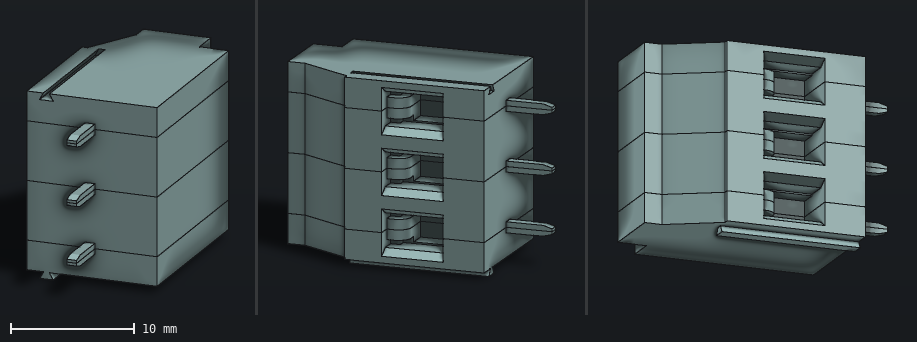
import cadquery as cq


POLE_COUNT = 3
PITCH = 5.08
STACK_HEIGHT = POLE_COUNT * PITCH
POLE_PLANES = [(i + 0.5) * PITCH for i in range(POLE_COUNT)]

DEPTH = 11.35
HEIGHT = 18.05
REAR_NOTCH_WIDTH = 2.55
REAR_NOTCH_HEIGHT = 2.49
SHOULDER_Y = 12.03
SHOULDER_WIDTH = 0.46
SLOPE_TOP_X = 2.9
SLOPE_TOP_Y = HEIGHT - 1.5

DOVETAIL_X = 1.72
DOVETAIL_HEIGHT = 0.6
DOVETAIL_NECK = 0.53
DOVETAIL_BASE = 1.19

OPENING_BOTTOM = 3.55
OPENING_HEIGHT = 5.3
OPENING_TOP = OPENING_BOTTOM + OPENING_HEIGHT
MOUTH_WIDTH = 3.95
CHAMBER_WIDTH = 2.9
BEVEL_DEPTH = 0.85
CHAMBER_DEPTH = 2.8

NOSE_WIDTH = 1.75
NOSE_FRONT = 1.19
NOSE_FLAT = 0.64
NOSE_RADIUS = 1.08
NOSE_HEIGHT = NOSE_FLAT + NOSE_RADIUS
ROUND_CENTRE_X = NOSE_FRONT + NOSE_RADIUS
LEDGE_RADIUS = 0.18

HOLE_WIDTH = 2.65
HOLE_DEPTH = 4.4

PIN_LENGTH = 3.95
PIN_LEFT = 5.08
PIN_THICKNESS = 0.85
PIN_WIDTH = 0.92
PIN_TIP_WIDTH = 0.48
PIN_TAPER_LENGTH = 0.77


def box(x_range, y_range, z_range):
    """Box spanning three (low, high) ranges."""
    lows, highs = zip(x_range, y_range, z_range)
    size = [high - low for low, high in zip(lows, highs)]
    return cq.Workplane("XY").box(*size, centered=False).translate(lows)


def slab_blank(bottom, top):
    """Plain slab with the block's stepped and sloped outline."""
    return (
        cq.Workplane("XY", origin=(0, 0, bottom))
        .moveTo(0, 0)
        .lineTo(DEPTH, 0)
        .lineTo(DEPTH, HEIGHT - REAR_NOTCH_HEIGHT)
        .lineTo(DEPTH - REAR_NOTCH_WIDTH, HEIGHT - REAR_NOTCH_HEIGHT)
        .lineTo(DEPTH - REAR_NOTCH_WIDTH, HEIGHT)
        .lineTo(SLOPE_TOP_X, HEIGHT)
        .lineTo(SLOPE_TOP_X, SLOPE_TOP_Y)
        .lineTo(SHOULDER_WIDTH, SHOULDER_Y)
        .lineTo(0, SHOULDER_Y)
        .close()
        .extrude(top - bottom)
    )


def dovetail(neck_z):
    """Rail along Y that widens downwards from its neck."""
    return (
        cq.Workplane("XZ", origin=(DOVETAIL_X, 0, neck_z))
        .moveTo(-DOVETAIL_NECK / 2, 0)
        .lineTo(DOVETAIL_NECK / 2, 0)
        .lineTo(DOVETAIL_BASE / 2, -DOVETAIL_HEIGHT)
        .lineTo(-DOVETAIL_BASE / 2, -DOVETAIL_HEIGHT)
        .close()
        .extrude(-SHOULDER_Y)
    )


def rounded_step(pole_z, radius, width):
    """Step under the chamber's +Y wall with a quarter-round front lower edge."""
    front = ROUND_CENTRE_X - radius
    round_start_y = OPENING_TOP - NOSE_FLAT
    return (
        box(
            (front, CHAMBER_DEPTH),
            (round_start_y - radius, OPENING_TOP),
            (pole_z - width / 2, pole_z + width / 2),
        )
        .edges("|Z and <X and <Y")
        .fillet(radius)
    )


def wire_opening(pole_z):
    """Space removed for one wire: bevelled mouth, chamber and wire hole."""
    mouth = (
        cq.Workplane("XZ", origin=(0, OPENING_BOTTOM, pole_z))
        .moveTo(0, -MOUTH_WIDTH / 2)
        .lineTo(BEVEL_DEPTH, -CHAMBER_WIDTH / 2)
        .lineTo(CHAMBER_DEPTH, -CHAMBER_WIDTH / 2)
        .lineTo(CHAMBER_DEPTH, CHAMBER_WIDTH / 2)
        .lineTo(BEVEL_DEPTH, CHAMBER_WIDTH / 2)
        .lineTo(0, MOUTH_WIDTH / 2)
        .close()
        .extrude(-OPENING_HEIGHT)
    )
    hole = box(
        (CHAMBER_DEPTH, HOLE_DEPTH),
        (OPENING_BOTTOM, OPENING_TOP - NOSE_HEIGHT),
        (pole_z - HOLE_WIDTH / 2, pole_z + HOLE_WIDTH / 2),
    )
    nose = rounded_step(pole_z, NOSE_RADIUS, NOSE_WIDTH)
    ledge = rounded_step(pole_z, LEDGE_RADIUS, CHAMBER_WIDTH)
    return mouth.cut(nose).cut(ledge).union(hole)


def pin(pole_z):
    """Solder pin pointing to -Y, tapered in Z at its tip."""
    taper_y = PIN_TAPER_LENGTH - PIN_LENGTH
    return (
        cq.Workplane("YZ", origin=(PIN_LEFT, 0, pole_z))
        .moveTo(0, -PIN_WIDTH / 2)
        .lineTo(taper_y, -PIN_WIDTH / 2)
        .lineTo(-PIN_LENGTH, -PIN_TIP_WIDTH / 2)
        .lineTo(-PIN_LENGTH, PIN_TIP_WIDTH / 2)
        .lineTo(taper_y, PIN_WIDTH / 2)
        .lineTo(0, PIN_WIDTH / 2)
        .close()
        .extrude(PIN_THICKNESS)
    )


def slab(bottom, top, pole_planes):
    """Slab with the share of each adjoining pole that lies between its faces."""
    body = slab_blank(bottom, top)
    envelope = box((0, DEPTH), (-PIN_LENGTH, HEIGHT), (bottom, top))
    for pole_z in pole_planes:
        body = body.cut(wire_opening(pole_z))
        body = body.union(pin(pole_z).intersect(envelope))
    return body


def lower_end_slab():
    """Half-pole slab with the dovetail rail underneath."""
    first_pole = POLE_PLANES[0]
    return slab(0, first_pole, [first_pole]).union(dovetail(0))


def upper_end_slab():
    """Half-pole slab with the matching dovetail groove in its top."""
    last_pole = POLE_PLANES[-1]
    return slab(last_pole, STACK_HEIGHT, [last_pole]).cut(dovetail(STACK_HEIGHT))


lower_end = lower_end_slab()
middle_slabs = [
    slab(lower, upper, [lower, upper])
    for lower, upper in zip(POLE_PLANES, POLE_PLANES[1:])
]
upper_end = upper_end_slab()

result = cq.Compound.makeCompound(
    [body.solids().val() for body in (lower_end, *middle_slabs, upper_end)]
)